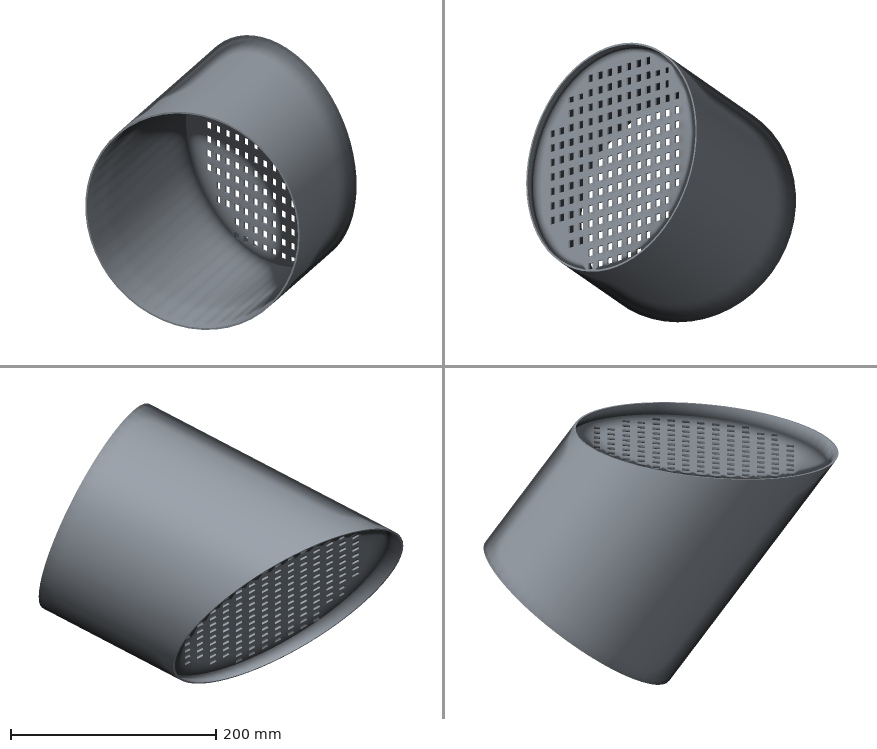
import cadquery as cq
import math

outer_diameter = 225.0
wall = 1.8
overall_length = 280.93
slant_angle = 30.0
slant = math.radians(slant_angle)
outer_radius = outer_diameter / 2
inner_diameter = outer_diameter - 2 * wall
axis_length = overall_length - outer_radius * math.tan(slant)

plate_diameter = outer_diameter - wall
plate_thickness = wall
plate_setback = 15.0
plate_axis_y = axis_length - plate_setback

hole_pitch = 14.625
hole_size = hole_pitch / 2
grid_count = 14
grid_half_span = (grid_count - 1) * hole_pitch / 2
cross_length = 202.5
cross_middle = 157.5
cross_width = 101.25


def cylinder_along_y(diameter, length):
    """Solid cylinder on the Y axis from Y = 0 to Y = length."""
    return cq.Workplane("XZ").circle(diameter / 2).extrude(-length)


def slanted_plane(axis_y):
    """Plane through (0, axis_y, 0), its normal leaning from +Y towards +X.

    Local x runs down the slope from +X to -X, local y runs along +Z.
    """
    return cq.Plane(
        origin=(0, axis_y, 0),
        xDir=(-math.cos(slant), math.sin(slant), 0),
        normal=(math.sin(slant), math.cos(slant), 0),
    )


def slanted_slab(axis_y, depth):
    """Oversized slab starting on the slanted plane; a negative depth goes towards -Y."""
    slab_size = 2 * overall_length
    return cq.Workplane(slanted_plane(axis_y)).rect(slab_size, slab_size).extrude(depth)


def make_plate_blank():
    """Elliptical disc: a slanted slice of a cylinder."""
    slab = slanted_slab(plate_axis_y, -plate_thickness)
    return cylinder_along_y(plate_diameter, overall_length).intersect(slab)


def make_tube():
    tube = cylinder_along_y(outer_diameter, overall_length)
    tube = tube.cut(cylinder_along_y(inner_diameter, overall_length))
    tube = tube.cut(slanted_slab(axis_length, overall_length))
    return tube.cut(make_plate_blank()).solids()


def make_perforated_region():
    """Stepped cross, as thick as the plate, inside which the holes lie."""
    arm_sizes = [
        (cross_length, cross_width),
        (cross_middle, cross_middle),
        (cross_width, cross_length),
    ]
    region = cq.Workplane(slanted_plane(plate_axis_y))
    for across, height in arm_sizes:
        arm = cq.Workplane(slanted_plane(plate_axis_y)).rect(across, height).extrude(-plate_thickness)
        region = region.add(arm)
    return region.combine()


def make_holes():
    """Square grid of holes, cut off at the edge of the stepped cross.

    Rows step down from the top and columns step from -X to +X. The -X top corners of the holes
    are centred on the plate, so the grid reaches further towards +X and -Z.
    """
    centers = []
    for row in range(grid_count):
        for column in range(grid_count):
            left_edge = grid_half_span - column * hole_pitch
            top_edge = grid_half_span - row * hole_pitch
            centers.append((left_edge - hole_size / 2, top_edge - hole_size / 2))
    holes = cq.Workplane(slanted_plane(plate_axis_y)).pushPoints(centers).rect(hole_size, hole_size)
    return holes.extrude(-plate_thickness).intersect(make_perforated_region())


def make_plate():
    return make_plate_blank().cut(make_holes()).solids()


tube = make_tube()
plate = make_plate()

result = cq.Compound.makeCompound([tube.val(), plate.val()])